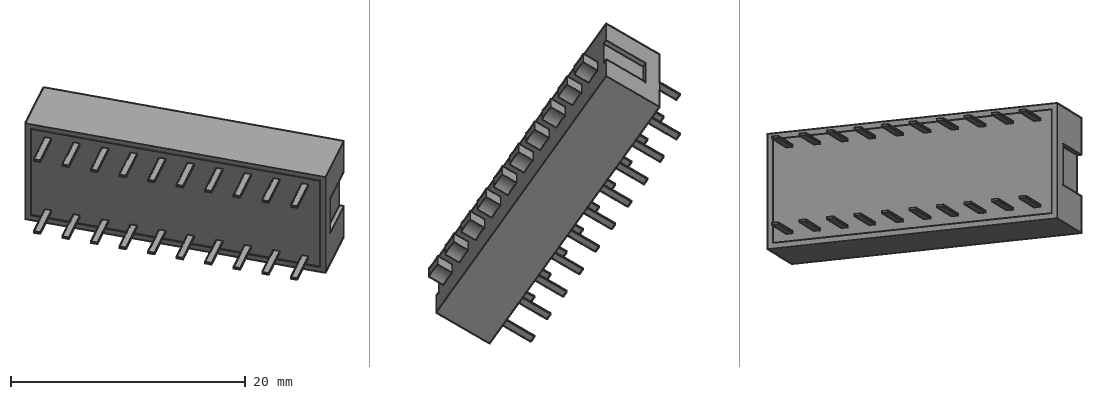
import cadquery as cq

length = 26.75
depth = 10.1
height = 10.17

actuator_reach = 1.47
pin_reach = 3.18
body_depth = depth - actuator_reach - pin_reach

position_count = 10
pitch = 2.55
switch_row_offset = 0.08

pin_row_spacing = 7.63
pin_width = 0.6
pin_thickness = 0.2

actuator_width = 1.4
actuator_height = 1.65
actuator_dish = 0.15
actuator_drop = 0.94

rim_width = 0.5
front_recess_depth = 0.1

notch_length = 4.01
notch_height = 3.65
notch_depth = 0.4

back_y = body_depth
first_switch_x = switch_row_offset - (position_count - 1) * pitch / 2
switch_x = [first_switch_x + i * pitch for i in range(position_count)]


def make_body():
    """Rectangular housing with a recessed front and notched ends."""
    body = cq.Workplane("XY").box(length, body_depth, height, centered=(True, False, True))
    front_recess = cq.Workplane("XY").box(
        length - 2 * rim_width, front_recess_depth, height - 2 * rim_width, centered=(True, False, True)
    )
    body = body.cut(front_recess)
    notch = cq.Workplane("XY").box(notch_depth, notch_length, notch_height)
    for side in (-1, 1):
        notch_x = side * (length - notch_depth) / 2
        body = body.cut(notch.translate((notch_x, back_y - notch_length / 2, 0)))
    return body


def make_pin(x, z):
    """Flat pin running from the recess floor out past the front face."""
    return (
        cq.Workplane("XY")
        .box(pin_width, pin_reach + front_recess_depth, pin_thickness, centered=(True, False, True))
        .translate((x, -pin_reach, z))
    )


def make_actuator(x):
    """Upright block whose top and bottom are dished by shallow arcs across its width."""
    half_width = actuator_width / 2
    half_height = actuator_height / 2
    dish_z = half_height - actuator_dish
    profile = (
        cq.Workplane("XZ")
        .moveTo(-half_width, -half_height)
        .lineTo(-half_width, half_height)
        .threePointArc((0, dish_z), (half_width, half_height))
        .lineTo(half_width, -half_height)
        .threePointArc((0, -dish_z), (-half_width, -half_height))
        .close()
    )
    return profile.extrude(-actuator_reach).translate((x, back_y, -actuator_drop))


result = make_body()
for x in switch_x:
    result = result.union(make_actuator(x))
    for row in (-1, 1):
        result = result.union(make_pin(x, row * pin_row_spacing / 2))